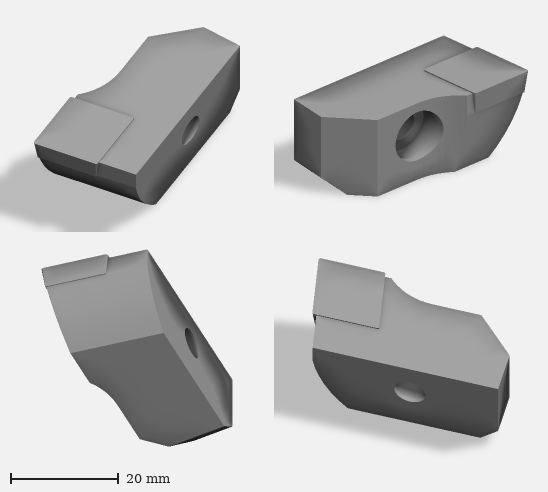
import cadquery as cq
import math

body_right = 20.0
body_back = 40.0
body_top = 16.7
total_height = 17.0
seat_height = 12.3

front_angle = math.radians(10)
relief_angle = math.radians(7)
front_slope = math.tan(front_angle)
relief_slope = math.tan(relief_angle)

nose_left = 0.75
shank_left = 4.5
corner_chamfer = 7.5
base_chamfer = 3.45
hole_y = 23.0
hole_z = 9.5
scoop_radius = 12.4
scoop_end_y = 14.5
nose_shoulder_y = 14.15
nose_front_y = 0.85

relief_radius = 22.65
relief_base_depth = 6.6
relief_top_z = 12.3
relief_yaw = front_angle + math.radians(0.2)

hole_diameter = 6.0
counterbore_diameter = 10.5
counterbore_depth = 4.75

insert_width = 12.7
insert_side = insert_width / math.cos(front_angle)
insert_corner_radius = 0.4
insert_base_radius = 0.05
insert_front_y = insert_corner_radius * (1 - front_slope - 1 / math.cos(front_angle))
insert_inset = (total_height - seat_height) * relief_slope

overrun = 12.0


def insert_outline(inset, front_reach=0.0, left_reach=0.0):
    """Corners of the insert's parallelogram, moved inward by inset; reaches extend it outward."""
    left = inset - left_reach
    right = insert_width - inset
    side_shift = inset / math.cos(front_angle)
    front = insert_front_y + side_shift - front_reach
    back = insert_front_y + insert_side - side_shift
    return [
        (left, front + front_slope * left),
        (right, front + front_slope * right),
        (right, back + front_slope * right),
        (left, back + front_slope * left),
    ]


def outline_wire(points, z, radius=0.0):
    """Closed wire at height z, with rounded corners if a radius is given."""
    wire = cq.Wire.makePolygon([cq.Vector(x, y, z) for x, y in points], close=True)
    if radius > 0:
        wire = wire.fillet2D(radius, wire.Vertices())
    return wire


def make_insert():
    """Rhombic insert whose sides lean inward towards its seat."""
    base = outline_wire(insert_outline(insert_inset), seat_height, insert_base_radius)
    top = outline_wire(insert_outline(0), total_height, insert_corner_radius)
    return cq.Workplane(obj=cq.Solid.makeLoft([base, top], True))


def seat_cutter():
    """Sharp-cornered recess that fits the insert and is open to the front and left."""
    base = outline_wire(insert_outline(insert_inset, overrun, overrun), seat_height)
    top = outline_wire(insert_outline(0, overrun, overrun), total_height)
    return cq.Workplane(obj=cq.Solid.makeLoft([base, top], True))


def holder_block():
    """Plan outline of the holder, with the concave scoop between shank and nose."""
    scoop_centre_x = shank_left - scoop_radius
    end_angle = math.asin((hole_y - scoop_end_y) / scoop_radius)
    mid_angle = end_angle / 2
    scoop_end_x = scoop_centre_x + scoop_radius * math.cos(end_angle)
    scoop_mid = (
        scoop_centre_x + scoop_radius * math.cos(mid_angle),
        hole_y - scoop_radius * math.sin(mid_angle),
    )
    front_right_y = nose_front_y + (body_right - nose_left) * front_slope
    return (
        cq.Workplane("XY")
        .moveTo(nose_left, nose_front_y)
        .lineTo(body_right, front_right_y)
        .lineTo(body_right, body_back)
        .lineTo(shank_left + corner_chamfer, body_back)
        .lineTo(shank_left, body_back - corner_chamfer)
        .lineTo(shank_left, hole_y)
        .threePointArc(scoop_mid, (scoop_end_x, scoop_end_y))
        .lineTo(nose_left, nose_shoulder_y)
        .close()
        .extrude(body_top)
    )


def front_relief_cutter():
    """Region ahead of the cylindrical front relief, whose axis is yawed slightly past the front face."""
    nose = cq.Plane(
        origin=(nose_left, nose_front_y, 0),
        xDir=(-math.sin(relief_yaw), math.cos(relief_yaw), 0),
        normal=(math.cos(relief_yaw), math.sin(relief_yaw), 0),
    )
    chord = math.hypot(relief_base_depth, relief_top_z)
    centre_offset = math.sqrt(relief_radius**2 - (chord / 2) ** 2)
    centre_depth = relief_base_depth / 2 + centre_offset * relief_top_z / chord
    centre_z = relief_top_z / 2 + centre_offset * relief_base_depth / chord
    length = body_right + 2 * overrun
    profile = cq.Workplane(nose).workplane(offset=-overrun)
    ahead = (
        profile.moveTo(-overrun, 0)
        .lineTo(relief_base_depth, 0)
        .lineTo(relief_base_depth, body_top)
        .lineTo(-overrun, body_top)
        .close()
        .extrude(length)
    )
    kept_cylinder = profile.center(centre_depth, centre_z).circle(relief_radius).extrude(length)
    return ahead.cut(kept_cylinder)


def flank_cutter():
    """Wedge that leans the nose's left flank inward below the seat."""
    return (
        cq.Workplane("XZ")
        .moveTo(nose_left, seat_height)
        .lineTo(nose_left + seat_height * relief_slope, 0)
        .lineTo(nose_left, 0)
        .close()
        .extrude(-body_back)
    )


def base_chamfer_cutter():
    """Chamfer along the bottom edge of the back face."""
    return (
        cq.Workplane("YZ")
        .moveTo(body_back - base_chamfer, 0)
        .lineTo(body_back, 0)
        .lineTo(body_back, base_chamfer)
        .close()
        .extrude(body_right)
    )


def screw_hole_cutter():
    """Through hole along X with a counterbore from the shank's left face."""
    axis = cq.Workplane("YZ").center(hole_y, hole_z)
    through = axis.circle(hole_diameter / 2).extrude(body_right)
    counterbore = axis.circle(counterbore_diameter / 2).extrude(shank_left + counterbore_depth)
    return through.union(counterbore)


def make_holder():
    return (
        holder_block()
        .cut(flank_cutter())
        .cut(front_relief_cutter())
        .cut(base_chamfer_cutter())
        .cut(screw_hole_cutter())
        .cut(seat_cutter())
    )


holder = make_holder()
insert = make_insert()

result = cq.Compound.makeCompound([holder.val(), insert.val()])